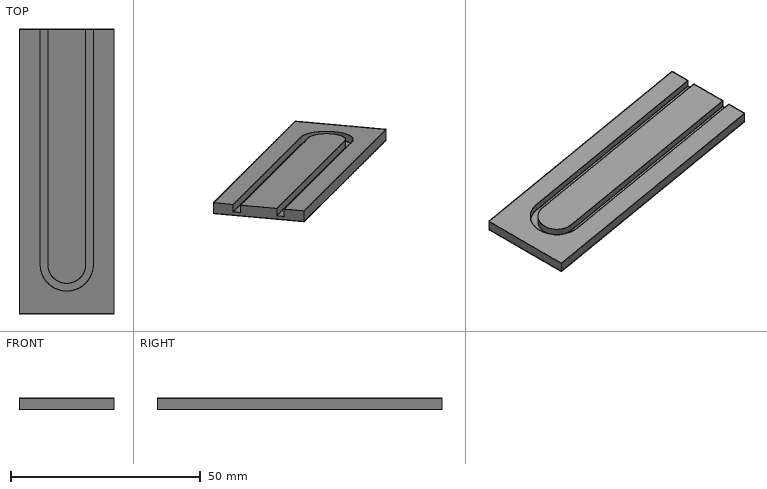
import cadquery as cq

plate_width = 25.0
plate_length = 75.0
plate_thickness = 3.0

groove_outer_width = 14.0
groove_inner_width = 10.0
groove_end_margin = 6.0
groove_depth = 2.0

bend_center_y = -plate_length / 2 + groove_end_margin + groove_outer_width / 2


def tongue(width):
    """Round-ended block reaching from the groove bend to the +Y edge, cut to groove depth."""
    radius = width / 2
    back_y = plate_length / 2
    return (
        cq.Workplane("XY", origin=(0, 0, plate_thickness - groove_depth))
        .moveTo(-radius, back_y)
        .lineTo(-radius, bend_center_y)
        .threePointArc((0, bend_center_y - radius), (radius, bend_center_y))
        .lineTo(radius, back_y)
        .close()
        .extrude(groove_depth)
    )


plate = cq.Workplane("XY").box(
    plate_width, plate_length, plate_thickness, centered=(True, True, False)
)
groove = tongue(groove_outer_width).cut(tongue(groove_inner_width))
result = plate.cut(groove)